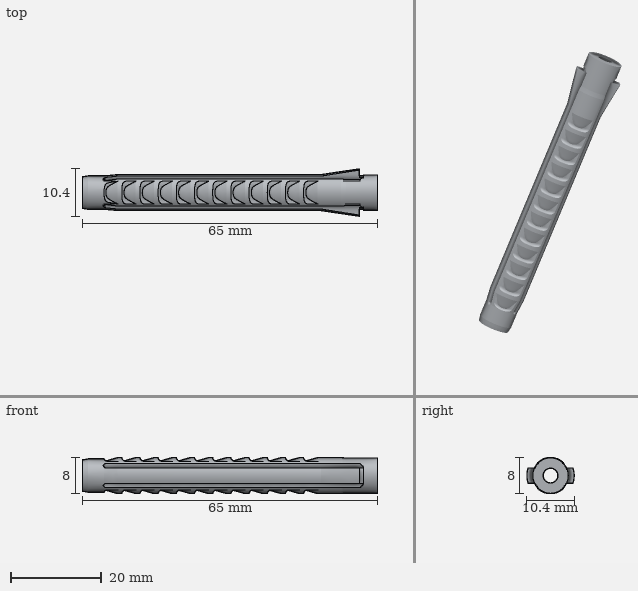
import cadquery as cq

length = 65.0
nose_dia = 7.4
nose_tip_dia = 6.95
body_dia = 8.0
rear_dia = 7.8
bore_dia = 3.2
nose_chamfer_end = 1.3
nose_end = 4.8
nose_taper_end = 7.8
rear_taper_start = 57.0
rear_taper_end = 58.05

tongue_width = 3.4
flare_start = 52.6
flare_end = 61.0
flare_span = 10.45

groove_outer_z = 2.65
groove_floor_y = 2.55
groove_tip_start = 4.55
groove_end = 61.9
groove_end_bevel = 0.8

notch_count = 12
notch_row_length = 44.0
notch_length = 3.1
notch_floor_z = 3.1
notch_wall_radius = 1.0
ramp_foot_radius = 3.4

body_radius = body_dia / 2
tongue_half = tongue_width / 2
notch_pitch = notch_row_length / (notch_count - 1)
clearance = 1.3


def revolve_about_x(points):
    """Solid of revolution about X from (x, radius) points."""
    return cq.Workplane("XY").polyline(points).close().revolve(360, (0, 0, 0), (1, 0, 0))


def block(x_start, x_end, y_start, y_end, z_half):
    """Box centred on Z = 0, placed by its X and Y limits."""
    return cq.Workplane("XY").box(
        x_end - x_start, y_end - y_start, 2 * z_half, centered=(False, False, True)
    ).translate((x_start, y_start, 0))


def make_body():
    return revolve_about_x([
        (0, 0),
        (0, nose_tip_dia / 2),
        (nose_chamfer_end, nose_dia / 2),
        (nose_end, nose_dia / 2),
        (nose_taper_end, body_radius),
        (rear_taper_start, body_radius),
        (rear_taper_end, rear_dia / 2),
        (length, rear_dia / 2),
        (length, 0),
    ])


def make_flares():
    """Both tongue ends, widening as a cone up to a square shoulder."""
    cone = revolve_about_x([
        (flare_start, 0),
        (flare_start, body_radius),
        (flare_end, flare_span / 2),
        (flare_end, 0),
    ])
    return cone.intersect(block(flare_start, flare_end, -flare_span, flare_span, tongue_half))


def make_shoulder_gaps():
    """Recesses behind the flare shoulders, down to the nose diameter."""
    gap = block(flare_end, groove_end, -body_dia, body_dia, tongue_half)
    root = cq.Workplane("YZ").workplane(offset=flare_end - clearance).circle(nose_dia / 2).extrude(
        groove_end - flare_end + 2 * clearance
    )
    return gap.cut(root)


def make_groove():
    """Groove above the tongue on the +Y side, with a pointed front end and a bevelled rear end."""
    tip_rise = (groove_outer_z - tongue_half) / 2
    outline = [
        (groove_tip_start, tongue_half + tip_rise),
        (groove_tip_start + tip_rise, groove_outer_z),
        (groove_end - groove_end_bevel, groove_outer_z),
        (groove_end, groove_outer_z - groove_end_bevel),
        (groove_end, tongue_half),
        (groove_tip_start + tip_rise, tongue_half),
    ]
    depth = flare_span / 2 - groove_floor_y
    return cq.Workplane("XZ", origin=(0, groove_floor_y, 0)).polyline(outline).close().extrude(-depth)


def make_notch(ramp_end):
    """Notch on the +Z side: a rounded wall, a flat floor and a conical ramp rising to the body surface."""
    start = ramp_end - notch_length
    wall_center_z = notch_floor_z + notch_wall_radius
    floor_start = start + notch_wall_radius
    diagonal = notch_wall_radius * 0.5 ** 0.5
    profile = (
        cq.Workplane("XZ", origin=(0, body_radius, 0))
        .moveTo(start, wall_center_z)
        .threePointArc(
            (floor_start - diagonal, wall_center_z - diagonal),
            (floor_start, notch_floor_z),
        )
        .lineTo(ramp_end, notch_floor_z)
        .lineTo(ramp_end, wall_center_z)
        .close()
        .extrude(body_dia)
    )
    slope = (body_radius - ramp_foot_radius) / (ramp_end - floor_start)
    ramp = revolve_about_x([
        (start - clearance, 0),
        (start - clearance, ramp_foot_radius - slope * (notch_wall_radius + clearance)),
        (ramp_end + clearance, body_radius + slope * clearance),
        (ramp_end + clearance, 0),
    ])
    return profile.cut(ramp)


plug = make_body().union(make_flares()).cut(make_shoulder_gaps())

groove = make_groove()
for side_groove in (groove, groove.mirror("XZ")):
    plug = plug.cut(side_groove).cut(side_groove.mirror("XY"))

for index in range(notch_count):
    notch = make_notch(nose_taper_end + index * notch_pitch)
    plug = plug.cut(notch).cut(notch.mirror("XY"))

bore = cq.Workplane("YZ").circle(bore_dia / 2).extrude(length)
result = plug.cut(bore)